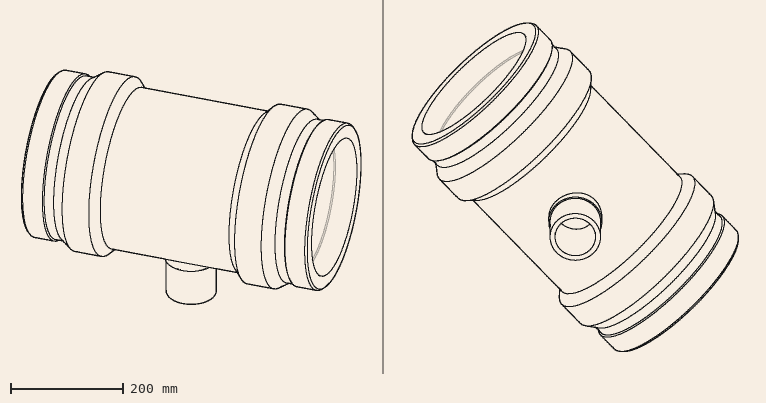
import cadquery as cq

length = 538.0
half_length = length / 2
body_radius = 293.0 / 2
bore_radius = 225.0 / 2

lip_radius = 303.5 / 2
neck_radius = 297.0 / 2
bell_radius = 326.0 / 2
mouth_radius = 250.0 / 2
socket_step = 0.5
socket_radius = mouth_radius + socket_step

lip_start = 4.0
lip_end = 41.0
neck_start = 43.0
neck_end = 61.0
bell_start = 82.0
bell_end = 132.0
body_start = 148.0
step_start = 40.5
step_end = 43.5
cone_start = 128.0
cone_end = 141.0

branch_radius = 90.0 / 2
branch_bore_radius = 72.0 / 2
collar_radius = 94.5 / 2
total_height = 398.0
collar_bottom = bell_radius
branch_bottom = total_height - bell_radius


def revolve_both_ends(end_profile):
    """Mirror (distance from end, radius) points about the middle and revolve about X."""
    left = [(-half_length + distance, radius) for distance, radius in end_profile]
    right = [(-x, radius) for x, radius in reversed(left)]
    outline = [(-half_length, 0), *left, *right, (half_length, 0)]
    return cq.Workplane("XY").polyline(outline).close().revolve(360, (0, 0, 0), (1, 0, 0))


def downward_cylinder(radius, depth):
    """Cylinder from the pipe axis down to the given depth."""
    return cq.Workplane("XY").circle(radius).extrude(-depth)


outside = revolve_both_ends([
    (0, neck_radius),
    (lip_start, lip_radius),
    (lip_end, lip_radius),
    (neck_start, neck_radius),
    (neck_end, neck_radius),
    (bell_start, bell_radius),
    (bell_end, bell_radius),
    (body_start, body_radius),
])

bore = revolve_both_ends([
    (0, mouth_radius),
    (step_start, mouth_radius),
    (step_end, socket_radius),
    (cone_start, socket_radius),
    (cone_end, bore_radius),
])

branch = downward_cylinder(collar_radius, collar_bottom).union(
    downward_cylinder(branch_radius, branch_bottom)
)
branch_bore = downward_cylinder(branch_bore_radius, branch_bottom)

result = outside.union(branch).cut(bore).cut(branch_bore)